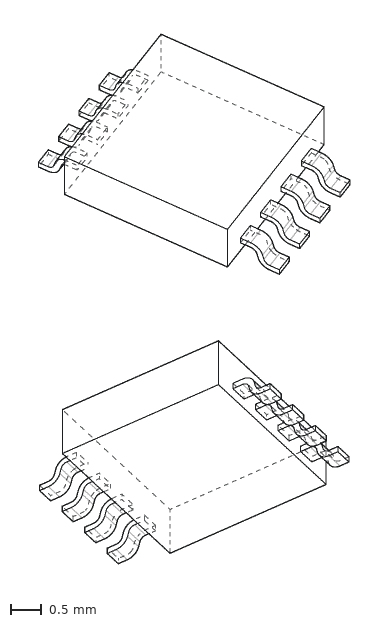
import cadquery as cq
import math

overall_length = 4.58
overall_height = 1.09
body_side = 3.1
standoff = 0.155

leads_per_side = 4
lead_pitch = 0.65
lead_width = 0.32
lead_thickness = 0.115
foot_length = 0.18
lead_rise = 0.353
inner_radius = 0.12
bend_angle = 75.0

outer_radius = inner_radius + lead_thickness


def bend_point(center, radius, angle):
    """Point on a bend, at an angle in degrees from straight up."""
    turn = math.radians(angle)
    return center[0] + radius * math.sin(turn), center[1] + radius * math.cos(turn)


def make_body():
    """Plain square block raised above the feet."""
    return (
        cq.Workplane("XY")
        .workplane(offset=standoff)
        .rect(body_side, body_side)
        .extrude(overall_height - standoff)
    )


def make_lead():
    """Lead on the +X side, centred on Y = 0, starting flush at the body's side face."""
    body_face = body_side / 2
    tip = overall_length / 2
    shoulder_top = lead_rise + lead_thickness

    slope = math.radians(bend_angle)
    radius_sum = inner_radius + outer_radius
    leg_rise = lead_rise - radius_sum * (1 - math.cos(slope))
    bends_span = radius_sum * math.sin(slope) + leg_rise / math.tan(slope)

    foot_start = tip - foot_length
    shoulder_end = foot_start - bends_span
    upper_center = (shoulder_end, lead_rise - inner_radius)
    lower_center = (foot_start, lead_thickness + inner_radius)

    upper_mid = bend_angle / 2
    upper_end = bend_angle
    lower_mid = 180 + upper_mid
    lower_end = 180 + upper_end

    profile = (
        cq.Workplane("XZ", origin=(0, lead_width / 2, 0))
        .moveTo(body_face, shoulder_top)
        .lineTo(shoulder_end, shoulder_top)
        .threePointArc(
            bend_point(upper_center, outer_radius, upper_mid),
            bend_point(upper_center, outer_radius, upper_end),
        )
        .lineTo(*bend_point(lower_center, inner_radius, lower_end))
        .threePointArc(
            bend_point(lower_center, inner_radius, lower_mid),
            (foot_start, lead_thickness),
        )
        .lineTo(tip, lead_thickness)
        .lineTo(tip, 0)
        .lineTo(foot_start, 0)
        .threePointArc(
            bend_point(lower_center, outer_radius, lower_mid),
            bend_point(lower_center, outer_radius, lower_end),
        )
        .lineTo(*bend_point(upper_center, inner_radius, upper_end))
        .threePointArc(
            bend_point(upper_center, inner_radius, upper_mid),
            (shoulder_end, lead_rise),
        )
        .lineTo(body_face, lead_rise)
        .close()
    )
    return profile.extrude(lead_width)


def make_leads():
    """A row of leads on the +X side and a matching row on the -X side."""
    right_lead = make_lead()
    left_lead = right_lead.mirror("YZ")
    row_start = -lead_pitch * (leads_per_side - 1) / 2
    leads = []
    for index in range(leads_per_side):
        row_y = row_start + index * lead_pitch
        for lead in (right_lead, left_lead):
            leads.append(lead.translate((0, row_y, 0)).val())
    return leads


body = make_body()
leads = make_leads()

result = cq.Compound.makeCompound([body.val(), *leads])